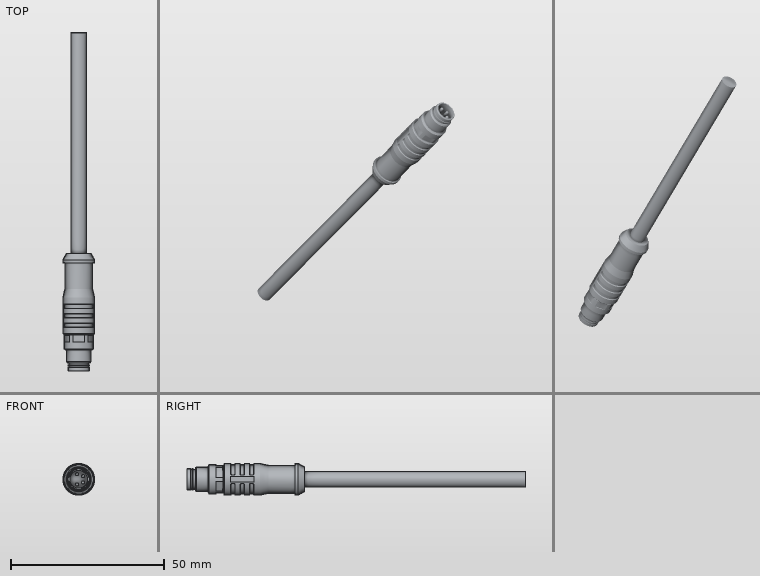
import cadquery as cq
import math

TOTAL_LENGTH = 110.2
TIP_LIP_END = 1.2
TIP_RIB_START = 1.6
TIP_RIB_END = 2.0
TIP_NECK_END = 2.7
NOSE_END = 6.8
COLLAR_BAND_END = 9.4
COLLAR_END = 11.7
SLEEVE_START = 12.0
SLEEVE_TAPER_START = 23.9
SLEEVE_TAPER_END = 26.6
FLANGE_START = 35.2
FLANGE_RIM_END = 36.2
FLANGE_END = 38.3
TIP_LIP_RADIUS = 0.3
NOSE_CHAMFER = 0.35
COLLAR_CONE_LENGTH = 0.4
SLEEVE_CHAMFER = 0.2

CABLE_DIAMETER = 5.1
BORE_DIAMETER = 5.8
SLIT_DIAMETER = 6.0
NECK_DIAMETER = 6.5
TIP_DIAMETER = 6.9
NOSE_DIAMETER = 8.0
FLANGE_REAR_DIAMETER = 8.0
BARREL_DIAMETER = 9.1
COLLAR_DIAMETER = 9.6
SLEEVE_DIAMETER = 10.3

FLAT_COUNT = 6
FLAT_DISTANCE = 4.45

GROOVE_DIAMETER = 9.55
GROOVE_COUNT = 3
GROOVE_WIDTH = 1.5
GROOVE_PITCH = 3.05
GROOVE_FLANK = 0.15
GRIP_START = 14.2
GRIP_END = GRIP_START + (GROOVE_COUNT - 1) * GROOVE_PITCH + GROOVE_WIDTH
GROOVE_END_HEIGHT = 1.4
GROOVE_END_RADIUS = 0.5
SIDE_POCKET_HEIGHT = 1.7
SIDE_POCKET_FLOOR = 4.85

BORE_DEPTH = 5.0
PIN_DIAMETER = 1.0
PIN_LENGTH = 4.0
PIN_ROOT = 1.0
PIN_CIRCLE_RADIUS = 1.75
PIN_PITCH_ANGLE = 72
PIN_ANGLES = [PIN_PITCH_ANGLE * step for step in (-1.5, -0.5, 0.5, 1.5)]


def cylinder(diameter, start, end):
    """Round bar along +Y between two distances from the tip."""
    plane = cq.Workplane("XZ", origin=(0, start, 0))
    return plane.circle(diameter / 2).extrude(start - end)


def turned_body():
    """Plug, sleeve, flange and cable revolved about the Y axis."""
    tip = TIP_DIAMETER / 2
    neck = NECK_DIAMETER / 2
    nose = NOSE_DIAMETER / 2
    collar = COLLAR_DIAMETER / 2
    sleeve = SLEEVE_DIAMETER / 2
    barrel = BARREL_DIAMETER / 2
    cable = CABLE_DIAMETER / 2
    slit = SLIT_DIAMETER / 2
    tip_and_nose = [
        (tip, TIP_LIP_END),
        (neck, TIP_LIP_END),
        (neck, TIP_RIB_START),
        (tip, TIP_RIB_START),
        (tip, TIP_RIB_END),
        (neck, TIP_RIB_END),
        (neck, TIP_NECK_END),
        (nose - NOSE_CHAMFER, TIP_NECK_END),
        (nose, TIP_NECK_END + NOSE_CHAMFER),
        (nose, NOSE_END),
    ]
    collar_and_slit = [
        (collar, NOSE_END + COLLAR_CONE_LENGTH),
        (collar, COLLAR_END),
        (slit, COLLAR_END),
        (slit, SLEEVE_START),
    ]
    sleeve_and_cable = [
        (sleeve - SLEEVE_CHAMFER, SLEEVE_START),
        (sleeve, SLEEVE_START + SLEEVE_CHAMFER),
        (sleeve, SLEEVE_TAPER_START),
        (barrel, SLEEVE_TAPER_END),
        (barrel, FLANGE_START),
        (sleeve, FLANGE_START),
        (sleeve, FLANGE_RIM_END),
        (FLANGE_REAR_DIAMETER / 2, FLANGE_END),
        (cable, FLANGE_END),
        (cable, TOTAL_LENGTH),
        (0, TOTAL_LENGTH),
    ]
    lip_start = (tip - TIP_LIP_RADIUS, 0)
    profile = cq.Workplane("XY").lineTo(*lip_start).tangentArcPoint((tip, TIP_LIP_RADIUS), relative=False)
    for point in tip_and_nose + collar_and_slit + sleeve_and_cable:
        profile = profile.lineTo(*point)
    return profile.close().revolve(360, (0, 0, 0), (0, 1, 0))


def cut_collar_flats(body):
    """Six flats behind the collar band, one facing straight up."""
    length = COLLAR_END - COLLAR_BAND_END
    depth = COLLAR_DIAMETER / 2
    for index in range(FLAT_COUNT):
        cutter = cq.Workplane("XY").box(COLLAR_DIAMETER, length, depth, centered=(True, False, False))
        cutter = cutter.translate((0, COLLAR_BAND_END, FLAT_DISTANCE))
        body = body.cut(cutter.rotate((0, 0, 0), (0, 1, 0), index * 360 / FLAT_COUNT))
    return body


def groove_ring(start, end):
    """Ring with sloped flanks, the space of a groove running all the way round."""
    floor = GROOVE_DIAMETER / 2
    rim = SLEEVE_DIAMETER / 2
    profile = [
        (floor, start + GROOVE_FLANK),
        (rim, start),
        (2 * rim, start),
        (2 * rim, end),
        (rim, end),
        (floor, end - GROOVE_FLANK),
    ]
    return cq.Workplane("XY").polyline(profile).close().revolve(360, (0, 0, 0), (0, 1, 0))


def cut_grip_grooves(body):
    """Finger grooves over the top and bottom, with rounded ends short of the sides."""
    for index in range(GROOVE_COUNT):
        start = GRIP_START + index * GROOVE_PITCH
        end = start + GROOVE_WIDTH
        reach = cq.Workplane("XY").box(
            2 * SLEEVE_DIAMETER, GROOVE_WIDTH, SLEEVE_DIAMETER, centered=(True, False, False)
        )
        reach = reach.edges("|X and <Z").fillet(GROOVE_END_RADIUS)
        reach = reach.translate((0, start, GROOVE_END_HEIGHT))
        groove = groove_ring(start, end).intersect(reach)
        body = body.cut(groove).cut(groove.mirror("XY"))
    return body


def cut_side_pockets(body):
    """A long flat-floored pocket between the groove ends on each side."""
    length = GRIP_END - GRIP_START
    pocket = cq.Workplane("XY").box(SLEEVE_DIAMETER, length, SIDE_POCKET_HEIGHT, centered=(False, False, True))
    pocket = pocket.translate((SIDE_POCKET_FLOOR, GRIP_START, 0))
    return body.cut(pocket).cut(pocket.mirror("YZ"))


def add_contacts(body):
    """Socket bore with four round-tipped pins standing on its floor."""
    body = body.cut(cylinder(BORE_DIAMETER, 0, BORE_DEPTH))
    for angle in PIN_ANGLES:
        x = PIN_CIRCLE_RADIUS * math.cos(math.radians(angle))
        z = PIN_CIRCLE_RADIUS * math.sin(math.radians(angle))
        dome_centre = BORE_DEPTH - PIN_LENGTH + PIN_DIAMETER / 2
        pin = cylinder(PIN_DIAMETER, dome_centre, BORE_DEPTH + PIN_ROOT)
        pin = pin.union(cq.Workplane("XY").sphere(PIN_DIAMETER / 2).translate((0, dome_centre, 0)))
        body = body.union(pin.translate((x, 0, z)))
    return body


result = add_contacts(cut_side_pockets(cut_grip_grooves(cut_collar_flats(turned_body()))))